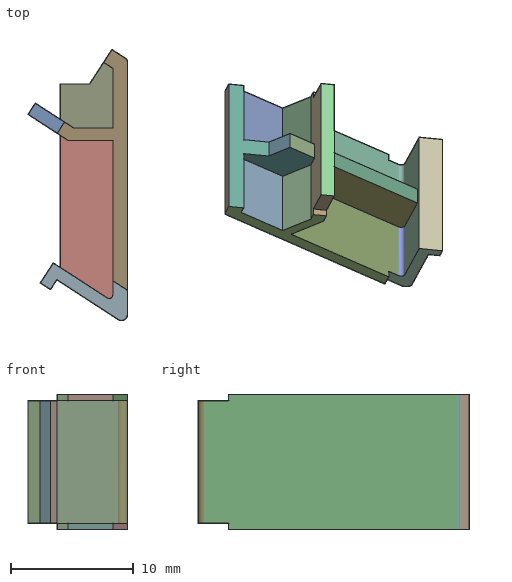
import cadquery as cq
import math


full_height = 11.0
reduced_height = 10.0
overall_depth = 8.11
overall_length = 22.08

slant = math.radians(33.0)
along = (-math.cos(slant), math.sin(slant))
across = (math.sin(slant), math.cos(slant))

wall_thickness = 1.2
lip_thickness = 1.25
lip_length = 1.52
lip_corner_radius = 0.3

leg_thickness = 1.0
leg_outer_radius = 0.5
leg_inner_radius = 0.3
hook_corner_depth = 6.05
hook_length = 1.95
hook_thickness = 1.0
step_offset = 2.42

arm_y = 15.1
root_thickness = 1.0
arm_thickness = 1.1
arm_bend_depth = 4.86
arm_tip_length = 2.84

rib_thickness = 1.25
rib_depth = 5.5
rib_end_y = 19.7


def move(point, along_distance, across_distance=0.0):
    """Shift a point in the slanted directions."""
    return (
        point[0] + along_distance * along[0] + across_distance * across[0],
        point[1] + along_distance * along[1] + across_distance * across[1],
    )


def at_depth(point, depth):
    """Slide a point along the slant until it is the given depth from the back face."""
    return move(point, (depth + point[0]) / math.cos(slant))


def at_height(point, y):
    """Slide a point along the slant until it reaches the given Y."""
    return move(point, (y - point[1]) / math.sin(slant))


def plate(points, height):
    """Extrude an outline by the height, centred on Z = 0."""
    return cq.Workplane("XY").polyline(points).close().extrude(height / 2, both=True)


leg_corner = (0.0, 0.0)
rounded_corner_y = leg_outer_radius * (math.tan(slant) + 1 / math.cos(slant) - 1)
lip_corner = (0.0, rounded_corner_y + overall_length - lip_length * math.sin(slant))
lip_tip = move(lip_corner, lip_length)
step_back = (0.0, step_offset / math.cos(slant))
step_front = at_depth(step_back, wall_thickness)
leg_inner_corner = at_depth(move(leg_corner, 0, leg_thickness), wall_thickness)


def make_wall():
    lip_inner_tip = move(lip_tip, 0, -lip_thickness)
    lip_inner_corner = at_depth(lip_inner_tip, wall_thickness)
    outline = [step_back, lip_corner, lip_tip, lip_inner_tip, lip_inner_corner, step_front]
    wall = plate(outline, full_height)
    return wall.edges(cq.selectors.NearestToPointSelector((*lip_corner, 0))).fillet(lip_corner_radius)


def make_leg():
    hook_corner = at_depth(leg_inner_corner, hook_corner_depth)
    hook_end = move(hook_corner, 0, -hook_length)
    hook_end_inner = move(hook_end, -hook_thickness)
    hook_root = move(hook_corner, -hook_thickness, -leg_thickness)
    outline = [
        leg_corner, step_back, step_front, leg_inner_corner,
        hook_corner, hook_end, hook_end_inner, hook_root,
    ]
    leg = plate(outline, reduced_height)
    for corner, radius in ((leg_corner, leg_outer_radius), (leg_inner_corner, leg_inner_radius)):
        leg = leg.edges(cq.selectors.NearestToPointSelector((*corner, 0))).fillet(radius)
    return leg


def make_arm():
    root_top_y = arm_y + root_thickness
    lower_bend = (-arm_bend_depth, arm_y)
    upper_bend = at_height(move(lower_bend, 0, arm_thickness), root_top_y)
    lower_tip = at_depth(lower_bend, overall_depth)
    upper_tip = move(lower_tip, 0, arm_thickness)
    lower_notch = move(lower_tip, -arm_tip_length)
    upper_notch = move(upper_tip, -arm_tip_length)
    wall_middle_x = -wall_thickness / 2
    root = plate(
        [
            (wall_middle_x, arm_y), lower_bend, lower_notch,
            upper_notch, upper_bend, (wall_middle_x, root_top_y),
        ],
        full_height,
    )
    tip = plate([lower_notch, lower_tip, upper_tip, upper_notch], reduced_height)
    return root.union(tip)


def make_rib():
    end_knee = move(lip_tip, 0, (rib_end_y - lip_tip[1]) / across[1])
    leg_middle = move(leg_corner, 0, leg_thickness / 2)
    wall_middle_depth = wall_thickness / 2
    outline = [
        at_depth(leg_middle, wall_middle_depth),
        at_depth(lip_corner, wall_middle_depth),
        lip_tip,
        end_knee,
        (-rib_depth, rib_end_y),
        at_depth(leg_middle, rib_depth),
    ]
    return plate(outline, rib_thickness)


result = make_wall().union(make_leg()).union(make_arm()).union(make_rib())